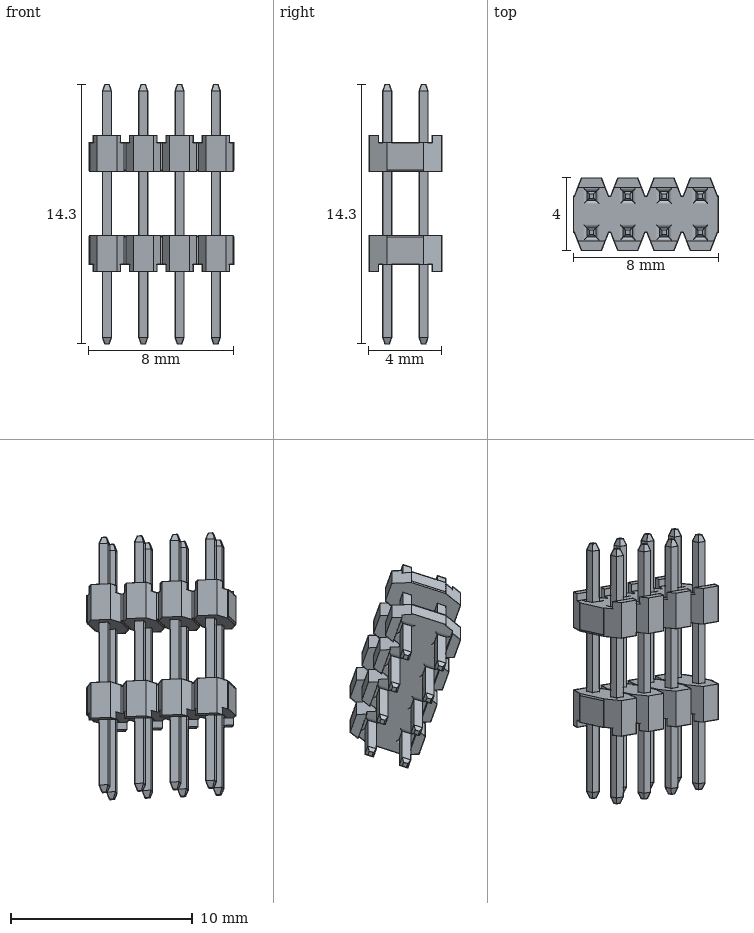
import cadquery as cq


columns = 4
housing_length = 8.0
housing_width = 4.0
column_pitch = housing_length / columns
row_pitch = housing_width / 2
column_x = [(i - (columns - 1) / 2) * column_pitch for i in range(columns)]
pin_places = [(x, y) for x in column_x for y in (-row_pitch / 2, row_pitch / 2)]

pin_length = 14.3
pin_side = 0.5
tip_side = 0.25
tip_height = 0.37

housing_height = 2.0
cell_flat = 1.1
bar_width = housing_width / 2
shoulder = 0.06
ridge_width = 0.53
ridge_height = 0.4
hole_round = 0.19
bevel_depth = 0.1

lower_tail = 3.99
housing_gap = 3.5
lower_plain_face = lower_tail + housing_height
upper_plain_face = lower_plain_face + housing_gap


def make_cell():
    """Eight-sided block for one column, narrowing towards both long sides."""
    flat = cell_flat / 2
    wide = column_pitch / 2 - shoulder
    inner = bar_width / 2
    outer = housing_width / 2
    right_half = [(flat, -outer), (wide, -inner), (wide, inner), (flat, outer)]
    left_half = [(-x, y) for x, y in reversed(right_half)]
    return cq.Workplane("XY").polyline(right_half + left_half).close().extrude(housing_height)


def make_bar():
    """Plain central bar over the full housing length, which joins the cells."""
    return cq.Workplane("XY").box(
        housing_length, bar_width, housing_height, centered=(True, True, False)
    )


def make_bevel_cutter():
    """V-shaped cut across the bar, one side for each neighbouring cell."""
    profile = [(-shoulder, 0), (0, bevel_depth), (shoulder, 0)]
    return cq.Workplane("XZ").polyline(profile).close().extrude(bar_width / 2, both=True)


def make_housing():
    """Housing with its plain face at Z = 0 and its recessed face upwards."""
    body = make_bar()
    for x in column_x:
        body = body.union(make_cell().translate((x, 0, 0)))

    for i in range(columns + 1):
        x = i * column_pitch - housing_length / 2
        body = body.cut(make_bevel_cutter().translate((x, 0, 0)))

    floor_z = housing_height - ridge_height
    recess = cq.Workplane("XY").workplane(offset=floor_z)
    recess = recess.rect(housing_length, housing_width - 2 * ridge_width).extrude(ridge_height)
    body = body.cut(recess)

    holes = cq.Workplane("XY").pushPoints(pin_places).rect(pin_side, pin_side).extrude(housing_height)
    body = body.cut(holes)
    mouth_reach = pin_side / 2 + hole_round / 2
    for x, y in pin_places:
        mouth = cq.selectors.BoxSelector(
            (x - mouth_reach, y - mouth_reach, floor_z - hole_round / 2),
            (x + mouth_reach, y + mouth_reach, floor_z + hole_round / 2),
        )
        body = body.edges(mouth).fillet(hole_round)
    return body


def make_pin():
    """Square pin from Z = 0 upwards, tapered at both ends."""
    shank_length = pin_length - 2 * tip_height
    pin = cq.Workplane("XY").workplane(offset=tip_height).rect(pin_side, pin_side).extrude(shank_length)
    for end_face in ("<Z", ">Z"):
        tip = pin.faces(end_face).workplane().rect(pin_side, pin_side)
        tip = tip.workplane(offset=tip_height).rect(tip_side, tip_side)
        pin = pin.union(tip.loft(combine=False))
    return pin


upper_housing = make_housing().translate((0, 0, upper_plain_face))
lower_housing = make_housing().mirror("XY").translate((0, 0, lower_plain_face))
pins = [make_pin().translate((x, y, 0)) for x, y in pin_places]

result = cq.Compound.makeCompound(
    [
        upper_housing.solids().val(),
        lower_housing.solids().val(),
        *[pin.solids().val() for pin in pins],
    ]
)